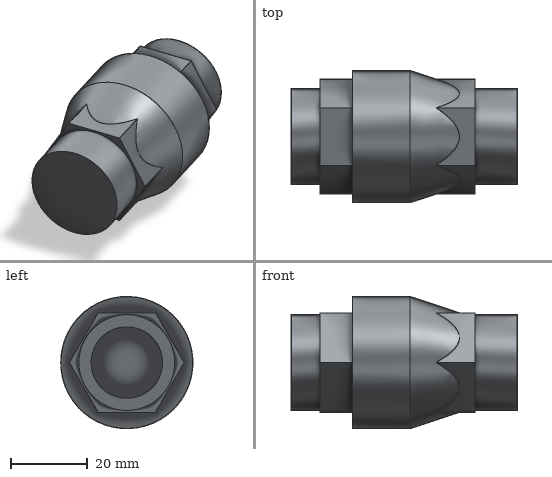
import cadquery as cq

length = 59.0
pipe_diameter = 25.0
bore_diameter = 18.65
bore_depth = 29.5
body_diameter = 34.5
hex_across_corners = 30.0

front_hex_start = 7.5
body_start = 15.95
cone_start = 31.05
cone_end = 43.9
rear_hex_end = 47.95

cone_end_radius = hex_across_corners * 3 ** 0.5 / 4


def plane_at(station):
    """Plane normal to +X at a distance from the -X end, local x along Y."""
    return cq.Workplane("YZ", origin=(station - length / 2, 0, 0))


def cylinder(start, end, diameter):
    return plane_at(start).circle(diameter / 2).extrude(end - start)


def hexagon(start, end):
    """Hexagonal prism with corners on +Y and -Y."""
    return plane_at(start).polygon(6, hex_across_corners).extrude(end - start)


def cone():
    """Taper from the body down to the rear hexagon flats."""
    return (
        plane_at(cone_start)
        .circle(body_diameter / 2)
        .workplane(offset=cone_end - cone_start)
        .circle(cone_end_radius)
        .loft(ruled=True)
    )


pipe = cylinder(0, length, pipe_diameter)
front_hex = hexagon(front_hex_start, body_start)
body = cylinder(body_start, cone_start, body_diameter)
rear_hex = hexagon(cone_start, rear_hex_end)
bore = cylinder(0, bore_depth, bore_diameter)

result = pipe.union(front_hex).union(body).union(cone()).union(rear_hex).cut(bore)